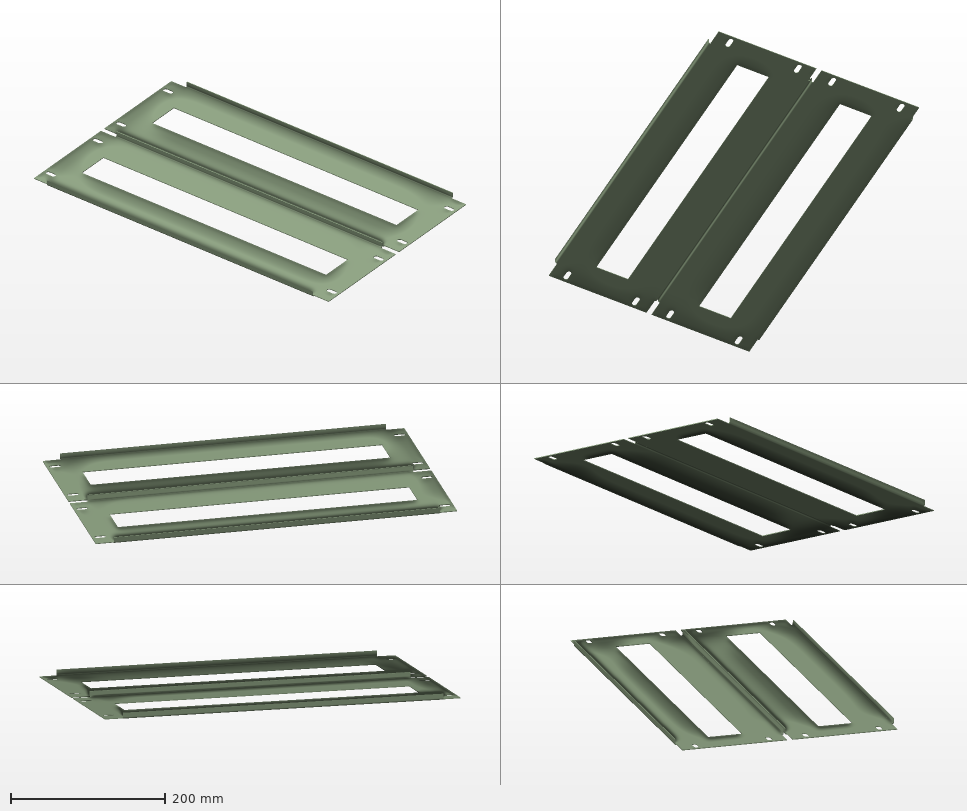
import cadquery as cq

panel_count = 2
overall_length = 482.0
overall_depth = 298.0
panel_gap = 1.7
panel_depth = (overall_depth - panel_gap) / panel_count
panel_pitch = panel_depth + panel_gap

sheet = 1.05
flange_height = 8.0
flange_length = 434.5
bend_outer_radius = 2.15
bend_inner_radius = bend_outer_radius - sheet
ear_setback = 3.0

window_length = 399.5
window_depth = 46.5

slot_length = 15.0
slot_width = 6.7
slot_spacing_x = 459.5
slot_spacing_y = 100.0


def make_channel():
    """Shallow channel: a flat web with a flange bent up along each long edge."""
    half_depth = panel_depth / 2
    inner_half_depth = half_depth - sheet
    profile = (
        cq.Workplane("YZ", origin=(-flange_length / 2, 0, 0))
        .moveTo(-half_depth, flange_height)
        .lineTo(-half_depth, bend_outer_radius)
        .radiusArc((-half_depth + bend_outer_radius, 0), -bend_outer_radius)
        .lineTo(half_depth - bend_outer_radius, 0)
        .radiusArc((half_depth, bend_outer_radius), -bend_outer_radius)
        .lineTo(half_depth, flange_height)
        .lineTo(inner_half_depth, flange_height)
        .lineTo(inner_half_depth, bend_outer_radius)
        .radiusArc((inner_half_depth - bend_inner_radius, sheet), bend_inner_radius)
        .lineTo(-inner_half_depth + bend_inner_radius, sheet)
        .radiusArc((-inner_half_depth, bend_outer_radius), bend_inner_radius)
        .close()
    )
    return profile.extrude(flange_length)


def make_face_plate():
    """Flat sheet whose ends reach past the flanges as mounting ears."""
    return cq.Workplane("XY").box(
        overall_length, panel_depth - 2 * ear_setback, sheet, centered=(True, True, False)
    )


def make_panel():
    """One panel centred on the origin, with its window and four slots cut through."""
    panel = make_channel().union(make_face_plate())
    window = cq.Workplane("XY").rect(window_length, window_depth).extrude(sheet)
    slots = (
        cq.Workplane("XY")
        .rect(slot_spacing_x, slot_spacing_y, forConstruction=True)
        .vertices()
        .slot2D(slot_length, slot_width)
        .extrude(sheet)
    )
    return panel.cut(window).cut(slots)


panels = []
for index in range(panel_count):
    offset_y = (index - (panel_count - 1) / 2) * panel_pitch
    panels.append(make_panel().translate((0, offset_y, 0)).val())

result = cq.Compound.makeCompound(panels)